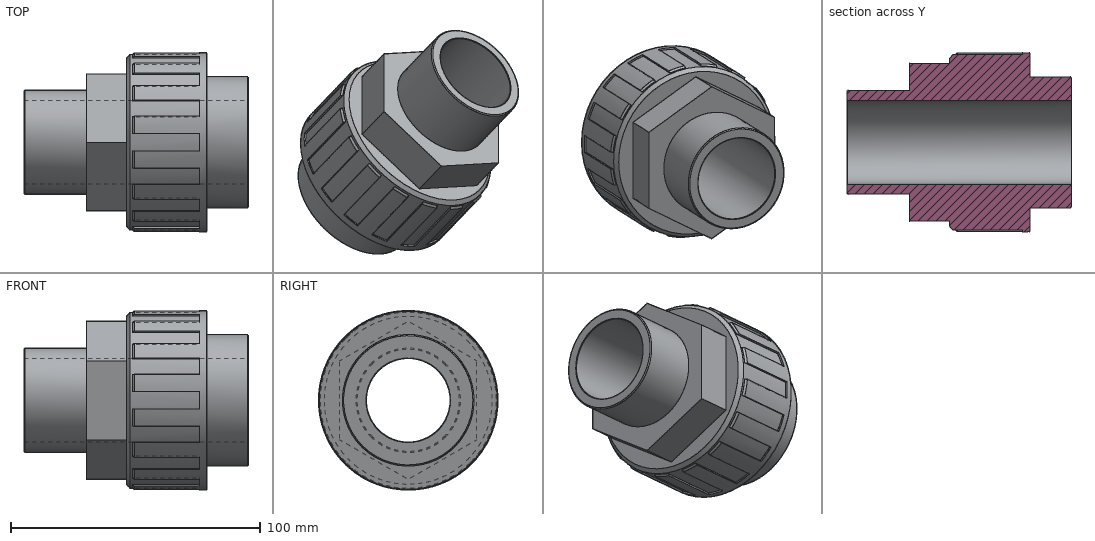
import cadquery as cq
import math

total_length = 90.0

spigot_diameter = 41.91
spigot_length = 25.0
bore_diameter = 33.53
bore_mouth_diameter = 34.0
spigot_edge_chamfer = 0.45

hex_across_flats = 54.9
hex_sides = 6
hex_length = 16.0

nut_start = spigot_length + hex_length
nut_length = 32.4
nut_end = nut_start + nut_length
nut_diameter = 72.0
nut_root_diameter = 70.56
nut_face_diameter = 67.4
nut_bevel_length = 1.5
nut_flange_length = 3.1
nut_edge_chamfer = 0.3

rib_count = 16
rib_pitch = 360.0 / rib_count
rib_start = nut_start + 2.4
rib_height = (nut_diameter - nut_root_diameter) / 2
rib_ramp_length = 0.85

tail_diameter = 52.8
tail_length = total_length - nut_end
tail_edge_chamfer = 0.5


def cylinder_along_x(start, length, diameter):
    return cq.Workplane("YZ", origin=(start, 0, 0)).circle(diameter / 2).extrude(length)


def revolve_about_x(profile, angle=360.0):
    """Revolve a closed (x, radius) profile about the X axis."""
    return cq.Workplane("XY").polyline(profile).close().revolve(angle, (0, 0, 0), (1, 0, 0))


def make_spigot():
    spigot = cylinder_along_x(0, spigot_length, spigot_diameter)
    return spigot.faces("<X").chamfer(spigot_edge_chamfer)


def make_hex_collar():
    across_corners = hex_across_flats / math.cos(math.pi / hex_sides)
    base = cq.Workplane("YZ", origin=(spigot_length, 0, 0))
    collar = base.polygon(hex_sides, across_corners).extrude(hex_length)
    return collar.rotate((0, 0, 0), (1, 0, 0), 90)


def make_nut_body():
    root_radius = nut_root_diameter / 2
    outer_radius = nut_diameter / 2
    flange_start = nut_end - nut_flange_length
    return revolve_about_x([
        (nut_start, 0),
        (nut_start, nut_face_diameter / 2),
        (nut_start + nut_bevel_length, root_radius),
        (flange_start, root_radius),
        (flange_start, outer_radius),
        (nut_end - nut_edge_chamfer, outer_radius),
        (nut_end, outer_radius - nut_edge_chamfer),
        (nut_end, 0),
    ])


def make_ribs():
    """Ribs with a ramped front end that run into the flange at the back of the nut."""
    outer_radius = nut_diameter / 2
    embedded_radius = nut_root_diameter / 2 - rib_height
    rib_end = nut_end - nut_flange_length / 2
    rib_width_angle = rib_pitch / 2
    rib = revolve_about_x([
        (rib_start, embedded_radius),
        (rib_start, nut_root_diameter / 2),
        (rib_start + rib_ramp_length, outer_radius),
        (rib_end, outer_radius),
        (rib_end, embedded_radius),
    ], rib_width_angle)
    first_rib_angle = (rib_pitch - rib_width_angle) / 2
    ribs = cq.Workplane("XY")
    for index in range(rib_count):
        ribs = ribs.add(rib.rotate((0, 0, 0), (1, 0, 0), first_rib_angle + index * rib_pitch))
    return ribs.combine()


def make_tail():
    tail = cylinder_along_x(nut_end, tail_length, tail_diameter)
    return tail.faces(">X").chamfer(tail_edge_chamfer)


def make_bore():
    mouth_depth = (bore_mouth_diameter - bore_diameter) / 2
    return revolve_about_x([
        (0, 0),
        (0, bore_mouth_diameter / 2),
        (mouth_depth, bore_diameter / 2),
        (total_length, bore_diameter / 2),
        (total_length, 0),
    ])


result = (
    make_spigot()
    .union(make_hex_collar())
    .union(make_nut_body())
    .union(make_ribs())
    .union(make_tail())
    .cut(make_bore())
)